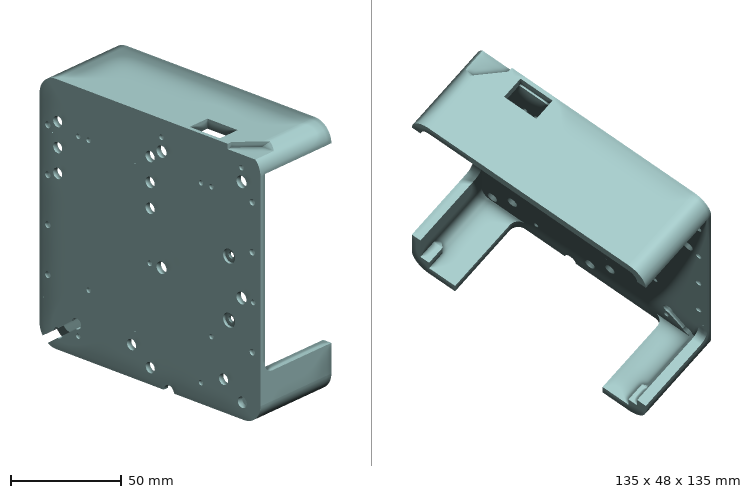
import cadquery as cq
import math

SIDE = 135.0
DEPTH = 48.0
CORNER_RADIUS = 10.0
PLATE = 3.0
WALL = 5.0
OVERCUT = 1.4
MIDDLE = SIDE / 2

LEFT_WALL_TOP = 15.0
RIGHT_WALL_TOP = 25.2
FLOOR_LENGTH = 25.0
OPENING_FILLET = 5.0

BLOCK_SIZE = 10.0
BLOCK_LENGTH = 10.0

WINDOW_LEFT = 89.9
WINDOW_WIDTH = 18.5
WINDOW_FRONT = 2.0
WINDOW_LENGTH = 12.0

RECESS_LEFT = 115.0
RECESS_DEPTH = 2.7
RECESS_STEP = 2.5
RECESS_LENGTH = 12.4

GROOVE_WIDTH = 4.0
GROOVE_DEPTH = 9.7

NOTCH_X = 79.0
NOTCH_Z = 0.0
NOTCH_DIAMETER = 6.2

CABLE_DIAMETER = 5.5
CABLE_X = (11.1, MIDDLE)
CABLE_TOP_Z = 114.0
CABLE_PITCH = 13.0
CABLE_ROWS = 3
LOW_CABLE_X = (11.3, 67.6, 123.9)
LOW_CABLE_Z = 8.5
RAISED_CABLE_X = (22.5, 56.2, 112.5)
RAISED_CABLE_Z = 16.5

ACCESS_DIAMETER = 6.1
ACCESS_X = (74.5, 123.4)
ACCESS_Z = (60.5, 118.5)
GROUP_SCREW_DIAMETER = 2.7
GROUP_SCREW_OFFSET = 7.2

EDGE_SCREW_DIAMETER = 3.2
EDGE_SCREW_X = 5.0
EDGE_SCREW_Z = 35.5
EDGE_SCREW_PITCH = 25.0
EDGE_SCREW_ROWS = 4
RIGHT_SCREW_ROWS = (0, 2, 3)

BOLT_DIAMETER = 2.5
BOLT_SPAN = 75.0
BOLT_TOP_Z = 110.4
TALL_BOLT_X = 23.6
TALL_BOLT_Z = 10.5
SQUARE_BOLT_X = MIDDLE - BOLT_SPAN / 2
SQUARE_BOLT_Z = 35.5

BORE_X = 115.8
BORE_Z = (47.1, 79.1)
BORE_DIAMETER = 3.2
COUNTERBORE_DIAMETER = 7.3
COUNTERBORE_DEPTH = 1.5

PIN_DIAMETER = 0.5
PIN_POINTS = [(7.8, 107.6), (58.3, 107.6), (2.4, 23.6), (58.3, 23.6)]


def box(x, y, z):
    """Box given by its (start, end) along each axis."""
    size = (x[1] - x[0], y[1] - y[0], z[1] - z[0])
    return cq.Workplane("XY").box(*size, centered=False).translate((x[0], y[0], z[0]))


def face_plane(depth):
    """Sketch plane parallel to the face plate, extruding toward +Y."""
    return cq.Workplane(cq.Plane(origin=(0, depth, 0), xDir=(1, 0, 0), normal=(0, -1, 0)))


def rounded_square(inset, start, end):
    """Square prism inset from the outer outline, between two depths along Y."""
    side = SIDE - 2 * inset
    return (
        face_plane(start)
        .center(MIDDLE, MIDDLE)
        .rect(side, side)
        .extrude(start - end)
        .edges("|Y")
        .fillet(CORNER_RADIUS - inset)
    )


def drill(points, diameter, depth):
    """Round cutters at (x, z) points, reaching the given depth from the front face."""
    return face_plane(-OVERCUT).pushPoints(points).circle(diameter / 2).extrude(-depth - OVERCUT)


def shell():
    """Face plate with a rim, opened on the left, right and bottom."""
    behind = (PLATE, DEPTH + OVERCUT)
    opening_top = SIDE - CORNER_RADIUS
    left_cut = box((-OVERCUT, CORNER_RADIUS), behind, (LEFT_WALL_TOP, opening_top))
    left_cut = left_cut.edges("|X and <Y and <Z").fillet(OPENING_FILLET)
    right_cut = box((SIDE - CORNER_RADIUS, SIDE + OVERCUT), behind, (RIGHT_WALL_TOP, opening_top))
    right_cut = right_cut.edges("|X and <Y and <Z").fillet(OPENING_FILLET)
    floor_cut = box((FLOOR_LENGTH, SIDE - FLOOR_LENGTH), behind, (-OVERCUT, CORNER_RADIUS))
    floor_cut = floor_cut.edges("|Z and <Y").fillet(OPENING_FILLET)
    body = rounded_square(0, 0, DEPTH).cut(rounded_square(WALL, PLATE, DEPTH + OVERCUT))
    return body.cut(left_cut).cut(right_cut).cut(floor_cut)


def corner_block():
    """Lower left block whose front end slopes at 45 degrees into the walls."""
    front = DEPTH - BLOCK_LENGTH
    side_slope = (
        cq.Workplane("XY")
        .polyline([(0, front - BLOCK_SIZE), (BLOCK_SIZE, front), (BLOCK_SIZE, DEPTH), (0, DEPTH)])
        .close()
        .extrude(BLOCK_SIZE)
    )
    top_slope = (
        cq.Workplane("YZ")
        .polyline([(front - BLOCK_SIZE, 0), (front, BLOCK_SIZE), (DEPTH, BLOCK_SIZE), (DEPTH, 0)])
        .close()
        .extrude(BLOCK_SIZE)
    )
    outline = rounded_square(0, 0, DEPTH)
    return side_slope.intersect(top_slope).intersect(outline)


def window():
    return box(
        (WINDOW_LEFT, WINDOW_LEFT + WINDOW_WIDTH),
        (WINDOW_FRONT, WINDOW_FRONT + WINDOW_LENGTH),
        (SIDE - WALL, SIDE + OVERCUT),
    )


def corner_recess():
    """Recess with one diagonal side and a back end sloping up at 45 degrees."""
    height = RECESS_DEPTH + OVERCUT
    back = RECESS_LENGTH + height
    plan = (
        cq.Workplane("XY", origin=(0, 0, SIDE - RECESS_DEPTH))
        .moveTo(RECESS_LEFT, -OVERCUT)
        .lineTo(RECESS_LEFT, RECESS_STEP)
        .lineTo(RECESS_LEFT + back - RECESS_STEP, back)
        .lineTo(SIDE + OVERCUT, back)
        .lineTo(SIDE + OVERCUT, -OVERCUT)
        .close()
        .extrude(height)
    )
    profile = (
        cq.Workplane("YZ", origin=(0, 0, SIDE - RECESS_DEPTH))
        .polyline([(-OVERCUT, 0), (RECESS_LENGTH, 0), (back, height), (-OVERCUT, height)])
        .close()
        .extrude(SIDE + OVERCUT)
    )
    return plan.intersect(profile)


def corner_groove():
    """Groove from the raised hole through the lower hole and out of the corner."""
    start_x, start_z = RAISED_CABLE_X[0], RAISED_CABLE_Z
    angle = math.degrees(math.atan2(start_z - LOW_CABLE_Z, start_x - LOW_CABLE_X[0]))
    length = math.hypot(start_x, start_z)
    return (
        face_plane(-OVERCUT)
        .center(start_x, start_z)
        .transformed(rotate=(0, 0, angle))
        .center(-length / 2, 0)
        .rect(length, GROOVE_WIDTH)
        .extrude(-GROOVE_DEPTH - OVERCUT)
    )


def cable_holes():
    points = [(x, CABLE_TOP_Z - row * CABLE_PITCH) for x in CABLE_X for row in range(CABLE_ROWS)]
    points += [(x, LOW_CABLE_Z) for x in LOW_CABLE_X]
    points += [(x, RAISED_CABLE_Z) for x in RAISED_CABLE_X]
    return drill(points, CABLE_DIAMETER, PLATE)


def access_holes():
    points = [(x, z) for x in ACCESS_X for z in ACCESS_Z]
    return drill(points, ACCESS_DIAMETER, PLATE)


def group_screw_holes():
    """Two screw holes above the upper access holes and two beside the lower ones."""
    left, right = ACCESS_X
    low, high = ACCESS_Z
    points = [(x, high + GROUP_SCREW_OFFSET) for x in ACCESS_X]
    points += [(left - GROUP_SCREW_OFFSET, low), (right + GROUP_SCREW_OFFSET, low)]
    return drill(points, GROUP_SCREW_DIAMETER, PLATE)


def edge_screw_holes():
    points = [(EDGE_SCREW_X, EDGE_SCREW_Z + row * EDGE_SCREW_PITCH) for row in range(EDGE_SCREW_ROWS)]
    points += [(SIDE - EDGE_SCREW_X, EDGE_SCREW_Z + row * EDGE_SCREW_PITCH) for row in RIGHT_SCREW_ROWS]
    return drill(points, EDGE_SCREW_DIAMETER, PLATE)


def bolt_holes():
    points = []
    for left, low in ((TALL_BOLT_X, TALL_BOLT_Z), (SQUARE_BOLT_X, SQUARE_BOLT_Z)):
        points += [(x, z) for x in (left, left + BOLT_SPAN) for z in (low, BOLT_TOP_Z)]
    return drill(points, BOLT_DIAMETER, PLATE)


def counterbored_holes():
    points = [(BORE_X, z) for z in BORE_Z]
    counterbores = drill(points, COUNTERBORE_DIAMETER, COUNTERBORE_DEPTH)
    return drill(points, BORE_DIAMETER, PLATE).union(counterbores)


left_block = corner_block()
right_block = left_block.mirror("YZ", (MIDDLE, 0, 0))
result = shell().union(left_block).union(right_block)

cutters = [
    window(),
    corner_recess(),
    corner_groove(),
    cable_holes(),
    access_holes(),
    group_screw_holes(),
    edge_screw_holes(),
    bolt_holes(),
    counterbored_holes(),
    drill(PIN_POINTS, PIN_DIAMETER, PLATE),
    drill([(NOTCH_X, NOTCH_Z)], NOTCH_DIAMETER, PLATE),
]
for cutter in cutters:
    result = result.cut(cutter)